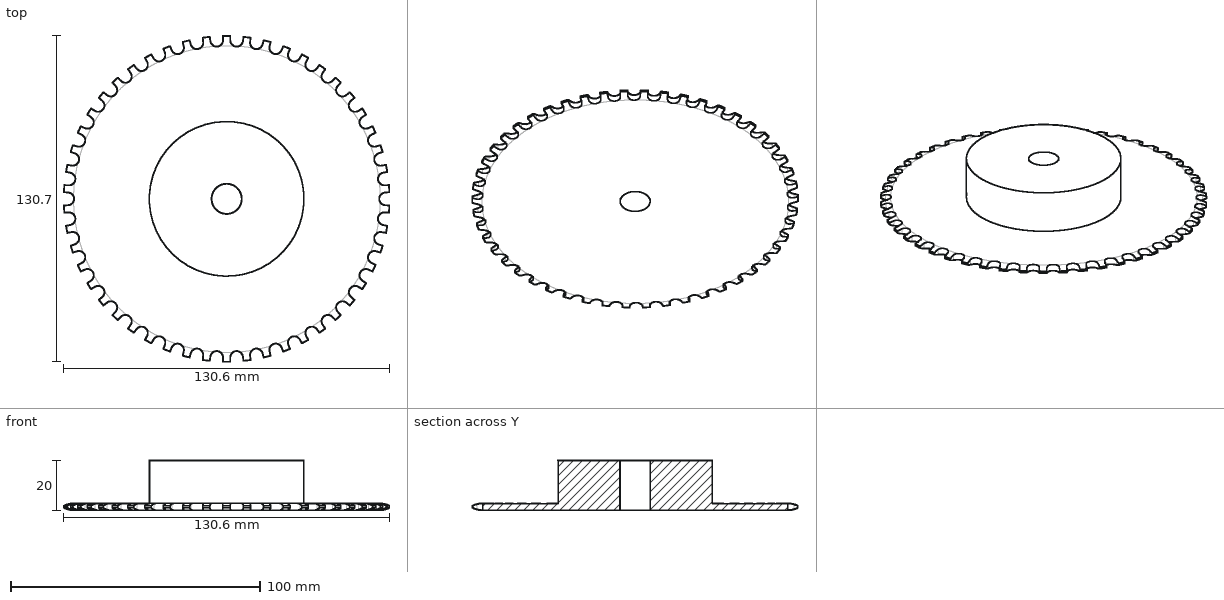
import cadquery as cq
import math

tooth_count = 50
chain_pitch = 8.0
roller_diameter = 5.0
gap_flare_angle = 4.3
tip_diameter = 130.7
plate_thickness = 2.8
face_rounding_radius = 8.0
tip_drop = 1.0

hub_diameter = 62.0
bore_diameter = 12.0
overall_height = 20.0

tooth_angle = 360 / tooth_count
pitch_radius = chain_pitch / (2 * math.sin(math.pi / tooth_count))
tip_radius = tip_diameter / 2
rounding_depth = math.sqrt(face_rounding_radius**2 - (face_rounding_radius - tip_drop) ** 2)
flat_radius = tip_radius - rounding_depth


def rounding_drop(distance):
    """Axial drop of the rounded face at a radial distance beyond the flat plate face."""
    return face_rounding_radius - math.sqrt(face_rounding_radius**2 - distance**2)


def make_blank():
    """Disc with both faces rounded towards the rim, revolved about Z from the +Y side."""
    middle_radius = flat_radius + rounding_depth / 2
    middle_drop = rounding_drop(rounding_depth / 2)
    return (
        cq.Workplane("YZ")
        .lineTo(flat_radius, 0)
        .threePointArc((middle_radius, middle_drop), (tip_radius, tip_drop))
        .lineTo(tip_radius, plate_thickness - tip_drop)
        .threePointArc(
            (middle_radius, plate_thickness - middle_drop),
            (flat_radius, plate_thickness),
        )
        .lineTo(0, plate_thickness)
        .close()
        .revolve(360, (0, 0), (0, 1))
    )


def make_roller_gaps():
    """Round-bottomed gaps between the teeth, flaring outwards, the first one on the +X axis."""
    roller_radius = roller_diameter / 2
    flare = math.radians(gap_flare_angle)
    seat_end_x = pitch_radius - roller_radius * math.sin(flare)
    seat_end_y = roller_radius * math.cos(flare)
    outer_x = tip_radius + roller_radius
    outer_y = seat_end_y + (outer_x - seat_end_x) * math.tan(flare)
    gap = (
        cq.Workplane("XY")
        .moveTo(outer_x, -outer_y)
        .lineTo(seat_end_x, -seat_end_y)
        .threePointArc((pitch_radius - roller_radius, 0), (seat_end_x, seat_end_y))
        .lineTo(outer_x, outer_y)
        .close()
        .extrude(plate_thickness)
        .val()
    )
    gaps = []
    for index in range(tooth_count):
        gaps.append(gap.rotate((0, 0, 0), (0, 0, 1), index * tooth_angle))
    return cq.Workplane(cq.Compound.makeCompound(gaps))


def make_hub():
    """Cylindrical hub rising from the plate."""
    return cq.Workplane("XY").circle(hub_diameter / 2).extrude(overall_height)


def make_bore():
    """Through bore along Z."""
    return cq.Workplane("XY").circle(bore_diameter / 2).extrude(overall_height)


result = make_blank().cut(make_roller_gaps()).union(make_hub()).cut(make_bore())